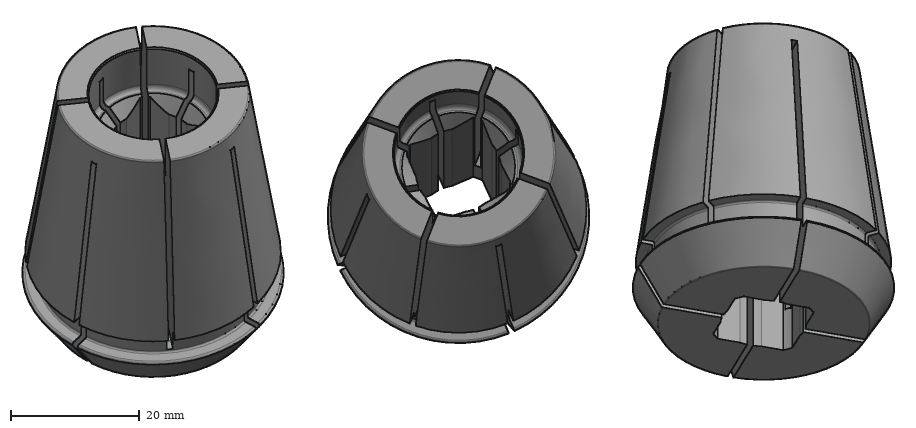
import cadquery as cq

total_height = 46.0
flange_top = 7.0
neck_top = 11.22

bottom_radius = 16.55
flange_radius = 20.42
neck_radius = 18.1
taper_base_radius = 19.95
taper_top_radius = 15.05

flange_rim_round = 0.4
top_fillet = 0.28
bottom_fillet = 0.2
bore_mouth_chamfer = 0.25
neck_fillet = 0.3

bore_radius = 10.05
bore_floor = 37.25
bore_floor_fillet = 0.85
cone_top_radius = 8.85
cone_slope = 1.0
square_half_width = 6.5
square_corner_radius = 8.4
pilot_hole_radius = 6.7

slit_width = 0.95
cross_slit_top = 42.95
diagonal_slit_floor = 7.5
slit_clearance = 2.3
slit_length = 2 * (flange_radius + slit_clearance)
diagonal_angle = 45


def make_body():
    """Revolved outside: clamping flange, neck groove and long taper."""
    flange_edge = flange_top - flange_rim_round
    profile = (
        cq.Workplane("XZ")
        .moveTo(0, 0)
        .lineTo(bottom_radius, 0)
        .lineTo(flange_radius, flange_edge)
        .radiusArc((flange_radius - flange_rim_round, flange_top), -flange_rim_round)
        .lineTo(neck_radius + neck_fillet, flange_top)
        .radiusArc((neck_radius, flange_top + neck_fillet), neck_fillet)
        .lineTo(neck_radius, neck_top - neck_fillet)
        .radiusArc((neck_radius + neck_fillet, neck_top), neck_fillet)
        .lineTo(taper_base_radius, neck_top)
        .lineTo(taper_top_radius, total_height)
        .lineTo(0, total_height)
        .close()
    )
    body = profile.revolve(360, (0, 0, 0), (0, 1, 0))
    body = body.faces(">Z").edges().fillet(top_fillet)
    return body.faces("<Z").edges().fillet(bottom_fillet)


def make_round_bore():
    """Round bore with rounded floor edge and the cone that leads into the square."""
    cone_bottom_radius = square_half_width / 2
    cone_depth = cone_slope * (cone_top_radius - cone_bottom_radius)
    profile = (
        cq.Workplane("XZ")
        .moveTo(0, total_height)
        .lineTo(bore_radius + bore_mouth_chamfer, total_height)
        .lineTo(bore_radius, total_height - bore_mouth_chamfer)
        .lineTo(bore_radius, bore_floor + bore_floor_fillet)
        .radiusArc((bore_radius - bore_floor_fillet, bore_floor), bore_floor_fillet)
        .lineTo(cone_top_radius, bore_floor)
        .lineTo(cone_bottom_radius, bore_floor - cone_depth)
        .lineTo(0, bore_floor - cone_depth)
        .close()
    )
    return profile.revolve(360, (0, 0, 0), (0, 1, 0))


def make_square_hole():
    """Square through hole whose corners are rounded off by a coaxial cylinder,
    with the slightly wider pilot hole bulging out at the middle of each side.
    """
    side = 2 * square_half_width
    square = cq.Workplane("XY").rect(side, side).extrude(bore_floor)
    corner_cylinder = cq.Workplane("XY").circle(square_corner_radius).extrude(bore_floor)
    pilot_hole = cq.Workplane("XY").circle(pilot_hole_radius).extrude(bore_floor)
    return square.intersect(corner_cylinder).union(pilot_hole)


def make_slit_pair(bottom, top, angle):
    """Two crossing slits at right angles, turned about Z by the angle."""
    base = cq.Workplane("XY").workplane(offset=bottom)
    slit = base.rect(slit_length, slit_width).extrude(top - bottom)
    other = base.rect(slit_width, slit_length).extrude(top - bottom)
    return slit.union(other).rotate((0, 0, 0), (0, 0, 1), angle)


result = (
    make_body()
    .cut(make_round_bore())
    .cut(make_square_hole())
    .cut(make_slit_pair(0, cross_slit_top, 0))
    .cut(make_slit_pair(diagonal_slit_floor, total_height, diagonal_angle))
)